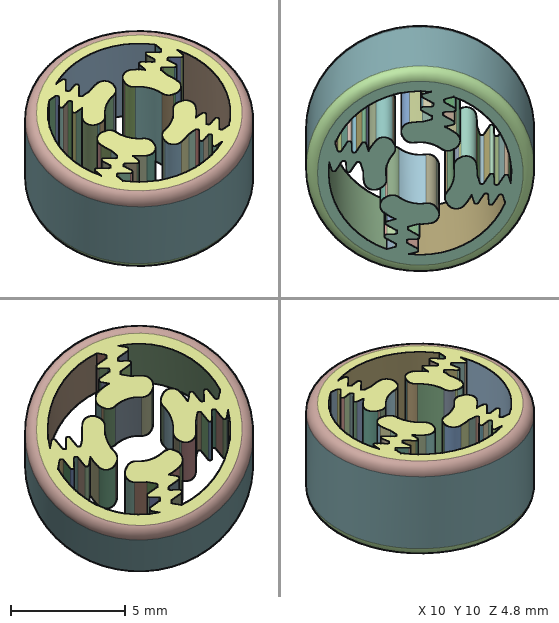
import cadquery as cq
import math

outer_radius = 5.0
ring_thickness = 1.0
height = 4.8
rim_fillet = 0.5
inner_radius = outer_radius - ring_thickness

shoe_count = 4
bore_radius = 1.5
shoe_thickness = 1.0
shoe_gap = 0.5
shoe_fillet = 0.45
shoe_outer_radius = bore_radius + shoe_thickness

spring_width = 1.0
bend_radius = 0.1
end_bend_reach = 0.36
middle_bend_reach = 0.25
first_bend_place = 3.7
last_bend_place = 2.73
middle_bend_spacing = 0.3
root_overlap = 0.3
spring_middle = (first_bend_place + last_bend_place) / 2
ring_root = math.sqrt(inner_radius**2 - (spring_width / 2) ** 2)


def make_ring():
    """Plain ring with rounded outer rims."""
    body = cq.Workplane("XY").circle(outer_radius).extrude(height)
    body = body.faces("<Z or >Z").edges().fillet(rim_fillet)
    bore = cq.Workplane("XY").circle(inner_radius).extrude(height)
    return body.cut(bore)


def make_shoe():
    """Annular segment on +Y whose ends run parallel to the gaps beside it."""
    half_sector = math.pi / shoe_count
    apex = shoe_gap / 2 / math.sin(half_sector)
    sector_top = apex + shoe_outer_radius
    sector_reach = shoe_outer_radius * math.tan(half_sector)
    sector = (
        cq.Workplane("XY")
        .polyline([(0, apex), (sector_reach, sector_top), (-sector_reach, sector_top)])
        .close()
        .extrude(height)
    )
    annulus = cq.Workplane("XY").circle(shoe_outer_radius).circle(bore_radius).extrude(height)
    return annulus.intersect(sector).edges("|Z").fillet(shoe_fillet)


def flank_slope(run, rise, radius_sum):
    """Angle to X of the line that touches two bends on opposite sides, from the offset of their centres.

    A bend of radius zero stands for a point that the line passes through.
    """
    return math.atan2(rise, run) - math.asin(radius_sum / math.hypot(run, rise))


def bend(x, y, side, slope_above, slope_below):
    """Start, tip and end of the bend centred at (x, y); side is +1 if it points to +X, else -1."""
    tip_turn = (slope_above - slope_below) / 2
    start = (x + side * bend_radius * math.sin(slope_above), y + bend_radius * math.cos(slope_above))
    tip = (x + side * bend_radius * math.cos(tip_turn), y + bend_radius * math.sin(tip_turn))
    end = (x + side * bend_radius * math.sin(slope_below), y - bend_radius * math.cos(slope_below))
    return (start, tip, end)


def spring_centerline():
    """Ring end, bends from the ring inward, and shoe end, measured from the middle of the spring."""
    end_x = end_bend_reach - bend_radius
    end_y = first_bend_place - spring_middle
    middle_x = middle_bend_reach - bend_radius
    middle_y = middle_bend_spacing / 2
    root_y = ring_root - spring_middle

    root_slope = flank_slope(end_x, root_y - end_y, bend_radius)
    long_slope = flank_slope(end_x + middle_x, end_y - middle_y, 2 * bend_radius)
    middle_slope = flank_slope(2 * middle_x, 2 * middle_y, 2 * bend_radius)

    upper_bends = [
        bend(end_x, end_y, 1, root_slope, long_slope),
        bend(-middle_x, middle_y, -1, long_slope, middle_slope),
    ]
    ring_end = (-root_overlap * math.cos(root_slope), root_y + root_overlap * math.sin(root_slope))

    lower_bends = [tuple((-x, -y) for x, y in reversed(points)) for points in reversed(upper_bends)]
    shoe_end = (-ring_end[0], -ring_end[1])
    return ring_end, upper_bends + lower_bends, shoe_end


def make_spring():
    """Zigzag on +Y whose two sides are the centreline shifted by half the width to -X and +X."""
    ring_end, bends, shoe_end = spring_centerline()

    def shifted(point, side):
        return (point[0] + side * spring_width / 2, point[1] + spring_middle)

    outline = cq.Workplane("XY").moveTo(*shifted(ring_end, -1))
    for start, tip, end in bends:
        outline = outline.lineTo(*shifted(start, -1)).threePointArc(shifted(tip, -1), shifted(end, -1))
    outline = outline.lineTo(*shifted(shoe_end, -1)).lineTo(*shifted(shoe_end, 1))
    for start, tip, end in reversed(bends):
        outline = outline.lineTo(*shifted(end, 1)).threePointArc(shifted(tip, 1), shifted(start, 1))
    return outline.lineTo(*shifted(ring_end, 1)).close().extrude(height)


arm = make_shoe().union(make_spring())
result = make_ring()
for index in range(shoe_count):
    result = result.union(arm.rotate((0, 0, 0), (0, 0, 1), index * 360 / shoe_count))